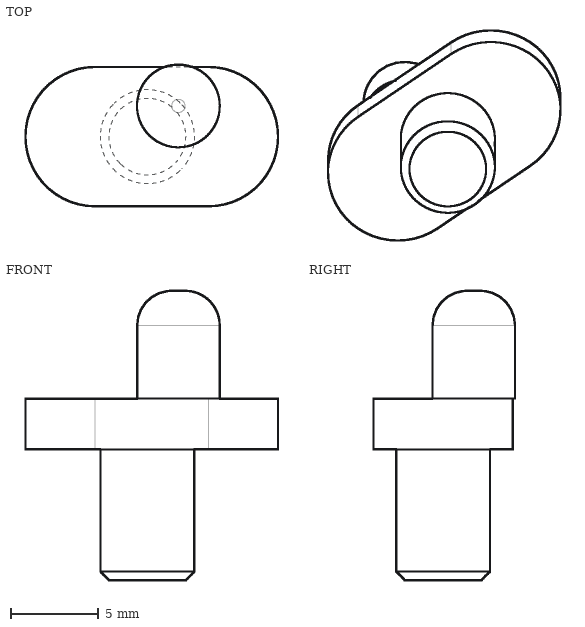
import cadquery as cq

total_height = 16.6

plate_length = 14.5
plate_width = 8.0
plate_thickness = 2.9

lower_pin_diameter = 5.4
lower_pin_length = 7.5
lower_pin_chamfer = 0.5
lower_pin_x = -0.25

upper_pin_diameter = 4.75
upper_pin_rounding = 2.0
upper_pin_x = 1.53
upper_pin_y = 1.76

upper_pin_length = total_height - lower_pin_length - plate_thickness


def make_plate():
    """Flat plate with fully rounded ends."""
    return cq.Workplane("XY").slot2D(plate_length, plate_width).extrude(plate_thickness)


def make_lower_pin():
    """Plain pin under the plate with a chamfered tip."""
    return (
        cq.Workplane("XY")
        .center(lower_pin_x, 0)
        .circle(lower_pin_diameter / 2)
        .extrude(-lower_pin_length)
        .faces("<Z")
        .chamfer(lower_pin_chamfer)
    )


def make_upper_pin():
    """Pin standing on the plate, its rounded tip ending in a small flat."""
    return (
        cq.Workplane("XY", origin=(upper_pin_x, upper_pin_y, plate_thickness))
        .circle(upper_pin_diameter / 2)
        .extrude(upper_pin_length)
        .faces(">Z")
        .edges()
        .fillet(upper_pin_rounding)
    )


plate = make_plate()
lower_pin = make_lower_pin()
upper_pin = make_upper_pin()

result = cq.Compound.makeCompound([plate.val(), lower_pin.val(), upper_pin.val()])